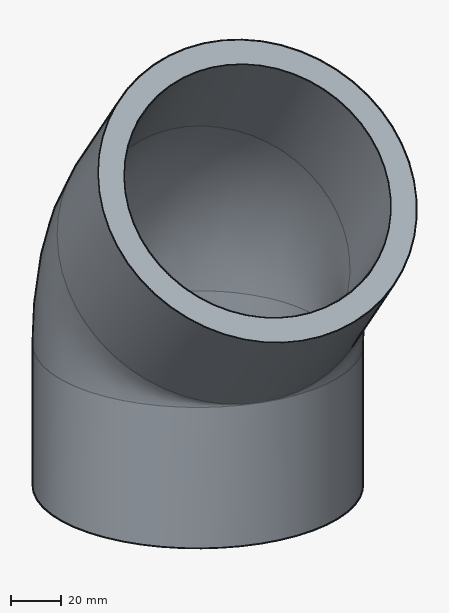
import cadquery as cq
import math

overall_height = 196.7
outer_diameter = 131.5
bore_diameter = 110.0
bend_angle = 45.0
bend_radius = 65.9

rise = math.sin(math.radians(bend_angle))
outside_bend_radius = bend_radius + outer_diameter / 2
leg_length = (overall_height - outside_bend_radius * rise) / (1 + rise)


def elbow(diameter):
    """Solid round bar following the elbow's centreline."""
    lower_leg = cq.Workplane("XY").circle(diameter / 2).extrude(leg_length)
    bend = (
        cq.Workplane("XY", origin=(0, 0, leg_length))
        .circle(diameter / 2)
        .revolve(bend_angle, (bend_radius, 0, 0), (bend_radius, 1, 0))
    )
    upper_leg = (
        cq.Workplane("XY", origin=(0, 0, leg_length))
        .circle(diameter / 2)
        .extrude(leg_length)
        .rotate((bend_radius, 0, leg_length), (bend_radius, 1, leg_length), bend_angle)
    )
    return lower_leg.union(bend).union(upper_leg)


result = elbow(outer_diameter).cut(elbow(bore_diameter))